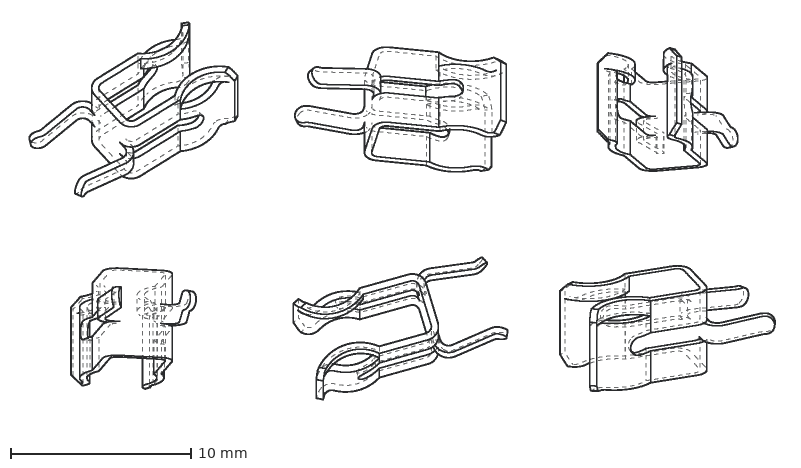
import cadquery as cq
import math


overall_length = 11.15
height = 5.0
overall_width = 5.0
sheet = 0.4

body_half_width = 1.96
corner_inner_radius = sheet
corner_outer_radius = corner_inner_radius + sheet
wall_end_y = 3.61

jaw_apex_y = 4.94
jaw_outer_radius = 2.53
flare_bend_radius = 0.4
flare_angle = 27.0
flare_length = 0.38
flare_chamfer = 0.57

band_bottom_z = 1.57
band_apex_y = 5.18
band_apex_x = 1.35
band_wall_inset = 0.1

slot_width = 1.1

pin_bend_radius = 0.49
pin_lean_angle = 8.0
pin_tip_angle = 25.0
pin_tip_length = 0.48
pin_tip_bend_radius = 0.4

top_z = height / 2
bottom_z = -height / 2
wall_inner_x = body_half_width - sheet
base_flat_half = body_half_width - corner_outer_radius


def polar(angle):
    """Unit vector in the XY plane at an angle in degrees from +X."""
    return cq.Vector(math.cos(math.radians(angle)), math.sin(math.radians(angle)))


def point(vector):
    """X and Y of a vector, for sketching on the XY plane."""
    return (vector.x, vector.y)


def both_sides(half):
    """A feature on the +X side joined with its mirror image."""
    return half.union(half.mirror("YZ"))


jaw_inner_radius = jaw_outer_radius - sheet
jaw_half_angle = math.degrees(math.asin((jaw_apex_y - wall_end_y) / jaw_outer_radius))
jaw_center = cq.Vector(
    body_half_width - jaw_outer_radius * math.cos(math.radians(jaw_half_angle)), jaw_apex_y
)
jaw_end_normal = polar(jaw_half_angle)
jaw_inner_start_y = jaw_apex_y - math.sqrt(jaw_inner_radius**2 - (wall_inner_x - jaw_center.x) ** 2)

flare_direction = polar(flare_angle)
flare_normal = polar(flare_angle + 90)
flare_bend_center = jaw_center + jaw_end_normal * (jaw_outer_radius + flare_bend_radius)
flare_start_out = flare_bend_center + flare_normal * flare_bend_radius
flare_start_in = flare_start_out + flare_normal * sheet
flare_tip_out = flare_start_out + flare_direction * flare_length
flare_tip_in = flare_start_in + flare_direction * flare_length

pin_bend_outer_radius = pin_bend_radius + sheet
pin_bend_center = cq.Vector(overall_width / 2 - pin_bend_outer_radius, -pin_bend_radius)
leg_direction = polar(-90 - pin_lean_angle)
leg_normal = polar(-pin_lean_angle)
tip_direction = polar(pin_tip_angle - 90)
tip_normal = polar(pin_tip_angle)
tip_bend_inner_radius = pin_tip_bend_radius + sheet
pin_end_y = flare_tip_in.y - overall_length
tip_bend_center_y = pin_end_y - tip_direction.y * pin_tip_length + tip_normal.y * tip_bend_inner_radius
leg_start_center = pin_bend_center + leg_normal * (pin_bend_outer_radius + pin_tip_bend_radius)
leg_length = (tip_bend_center_y - leg_start_center.y) / leg_direction.y
tip_bend_center = leg_start_center + leg_direction * leg_length


def make_body():
    outer = (
        cq.Workplane("XY", origin=(0, 0, bottom_z))
        .moveTo(0, wall_end_y / 2)
        .rect(2 * body_half_width, wall_end_y)
        .extrude(height)
        .edges("|Z and <Y")
        .fillet(corner_outer_radius)
    )
    inner = (
        cq.Workplane("XY", origin=(0, 0, bottom_z))
        .moveTo(0, sheet + wall_end_y / 2)
        .rect(2 * wall_inner_x, wall_end_y)
        .extrude(height)
        .edges("|Z and <Y")
        .fillet(corner_inner_radius)
    )
    return outer.cut(inner)


def make_jaw():
    """Outward-bowed jaw on the +X side, below the top band."""
    reverse_middle = polar((jaw_half_angle + 180 + flare_angle + 90) / 2)
    inner_end = jaw_center + jaw_end_normal * jaw_inner_radius
    outer_end = jaw_center + jaw_end_normal * jaw_outer_radius
    outer_bend_middle = flare_bend_center + reverse_middle * flare_bend_radius
    inner_bend_middle = flare_bend_center + reverse_middle * (flare_bend_radius + sheet)
    return (
        cq.Workplane("XY", origin=(0, 0, bottom_z))
        .moveTo(wall_inner_x, wall_end_y)
        .lineTo(body_half_width, wall_end_y)
        .threePointArc((jaw_center.x + jaw_outer_radius, jaw_apex_y), point(outer_end))
        .threePointArc(point(outer_bend_middle), point(flare_start_out))
        .lineTo(*point(flare_tip_out))
        .lineTo(*point(flare_tip_in))
        .lineTo(*point(flare_start_in))
        .threePointArc(point(inner_bend_middle), point(inner_end))
        .threePointArc(
            (jaw_center.x + jaw_inner_radius, jaw_apex_y), (wall_inner_x, jaw_inner_start_y)
        )
        .close()
        .extrude(band_bottom_z - bottom_z)
    )


def make_band():
    """Inward-bowed top band of the jaw on the +X side."""
    return (
        cq.Workplane("XY", origin=(0, 0, band_bottom_z))
        .moveTo(wall_inner_x, wall_end_y - band_wall_inset)
        .lineTo(body_half_width, wall_end_y - band_wall_inset)
        .lineTo(body_half_width, wall_end_y)
        .threePointArc((band_apex_x, band_apex_y), point(flare_start_out))
        .lineTo(*point(flare_tip_out))
        .lineTo(*point(flare_tip_in))
        .lineTo(*point(flare_start_in))
        .threePointArc(
            (band_apex_x - sheet, band_apex_y), (wall_inner_x, wall_end_y - band_wall_inset)
        )
        .close()
        .extrude(top_z - band_bottom_z)
    )


def make_flare_chamfers():
    """Corner wedges to remove from the flare, square to its faces."""
    wedges = cq.Workplane("XY")
    margin = sheet
    for corner_z, inward in ((top_z, -1), (bottom_z, 1)):
        corner = flare_tip_out - flare_normal * margin
        plane = cq.Plane(
            origin=(corner.x, corner.y, corner_z),
            xDir=flare_direction.toTuple(),
            normal=flare_normal.toTuple(),
        )
        wedge_height = inward * flare_chamfer * plane.yDir.z
        wedge = (
            cq.Workplane(plane)
            .polyline([(0, 0), (-flare_chamfer, 0), (0, wedge_height)])
            .close()
            .extrude(sheet + 2 * margin)
        )
        wedges = wedges.add(wedge)
    return wedges.combine()


def make_slot():
    """Slot through the side wall and body corner, with a round end in the jaw."""
    radius = slot_width / 2
    reach = overall_width / 2 - base_flat_half
    straight_end = jaw_apex_y - radius
    return (
        cq.Workplane("YZ", origin=(base_flat_half, 0, 0))
        .moveTo(0, -radius)
        .lineTo(straight_end, -radius)
        .threePointArc((jaw_apex_y, 0), (straight_end, radius))
        .lineTo(0, radius)
        .close()
        .extrude(reach)
    )


def make_pin():
    """Pin on the +X side with a rounded tip."""
    bend_middle = polar((90 - pin_lean_angle) / 2)
    leg_start_in = pin_bend_center + leg_normal * pin_bend_radius
    leg_start_out = pin_bend_center + leg_normal * pin_bend_outer_radius
    leg_end_out = leg_start_out + leg_direction * leg_length
    leg_end_in = leg_start_in + leg_direction * leg_length
    tip_middle = polar((pin_tip_angle - pin_lean_angle) / 2)
    tip_start_out = tip_bend_center - tip_normal * pin_tip_bend_radius
    tip_start_in = tip_bend_center - tip_normal * tip_bend_inner_radius
    strip = (
        cq.Workplane("XY", origin=(0, 0, -slot_width / 2))
        .moveTo(base_flat_half, 0)
        .lineTo(base_flat_half, sheet)
        .lineTo(pin_bend_center.x, sheet)
        .threePointArc(
            point(pin_bend_center + bend_middle * pin_bend_outer_radius), point(leg_start_out)
        )
        .lineTo(*point(leg_end_out))
        .threePointArc(
            point(tip_bend_center - tip_middle * pin_tip_bend_radius), point(tip_start_out)
        )
        .lineTo(*point(tip_start_in))
        .threePointArc(
            point(tip_bend_center - tip_middle * tip_bend_inner_radius), point(leg_end_in)
        )
        .lineTo(*point(leg_start_in))
        .threePointArc(
            point(pin_bend_center + bend_middle * pin_bend_radius), (pin_bend_center.x, 0)
        )
        .close()
        .extrude(slot_width)
    )
    tip_plane = cq.Plane(
        origin=tip_start_in.toTuple(), xDir=tip_direction.toTuple(), normal=tip_normal.toTuple()
    )
    tip = (
        cq.Workplane(tip_plane)
        .moveTo(0, -slot_width / 2)
        .threePointArc((pin_tip_length, 0), (0, slot_width / 2))
        .close()
        .extrude(sheet)
    )
    return strip.union(tip)


jaw = make_jaw().union(make_band()).cut(make_flare_chamfers())
clip = make_body().union(both_sides(jaw))
result = clip.cut(both_sides(make_slot())).union(both_sides(make_pin()))